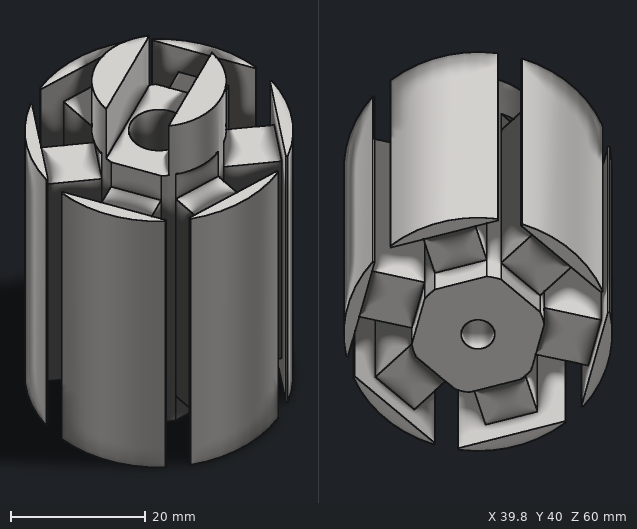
import cadquery as cq
import math

total_height = 60.0
body_height = 50.0

core_diameter = 40.0 / 2
core_radius = core_diameter / 2
prong_gap = core_radius
prong_height = total_height - body_height

bore_diameter = 5.0
counterbore_diameter = 9.0
counterbore_depth = 10.0

pole_count = 6
outer_radius = 39.95 / 2
arm_width = 8.05
arm_end_gap = 5.0
arm_height = body_height - 2 * arm_end_gap
shoe_width = 16.6
shoe_inner_distance = 17.9

flat_distance = math.sqrt(core_radius**2 - (arm_width / 2) ** 2)


def make_core():
    """Round core with one flat facing each arm."""
    cylinder = cq.Workplane("XY").circle(core_radius).extrude(body_height)
    corner_distance = flat_distance / math.cos(math.pi / pole_count)
    flats = (
        cq.Workplane("XY")
        .polygon(pole_count, 2 * corner_distance)
        .extrude(body_height)
    )
    return cylinder.intersect(flats)


def make_prongs():
    """Two circular segments standing on the core, separated by an open slot."""
    disc = cq.Workplane("XY").workplane(offset=body_height).circle(core_radius).extrude(prong_height)
    slot = (
        cq.Workplane("XY")
        .workplane(offset=body_height)
        .rect(prong_gap, core_diameter)
        .extrude(prong_height)
    )
    return disc.cut(slot)


def make_pole():
    """Arm and shoe pointing along +Y."""
    arm_length = shoe_inner_distance - flat_distance
    arm = (
        cq.Workplane("XY")
        .workplane(offset=arm_end_gap)
        .center(0, flat_distance + arm_length / 2)
        .rect(arm_width, arm_length)
        .extrude(arm_height)
    )
    half_width = shoe_width / 2
    tip_distance = math.sqrt(outer_radius**2 - half_width**2)
    shoe = (
        cq.Workplane("XY")
        .moveTo(-half_width, shoe_inner_distance)
        .lineTo(-half_width, tip_distance)
        .threePointArc((0, outer_radius), (half_width, tip_distance))
        .lineTo(half_width, shoe_inner_distance)
        .close()
        .extrude(body_height)
    )
    return arm.union(shoe)


body = make_core().union(make_prongs())
pole = make_pole()
for index in range(pole_count):
    body = body.union(pole.rotate((0, 0, 0), (0, 0, 1), index * 360 / pole_count))

bore = cq.Workplane("XY").circle(bore_diameter / 2).extrude(body_height)
counterbore = (
    cq.Workplane("XY")
    .workplane(offset=body_height - counterbore_depth)
    .circle(counterbore_diameter / 2)
    .extrude(counterbore_depth)
)
result = body.cut(bore).cut(counterbore)